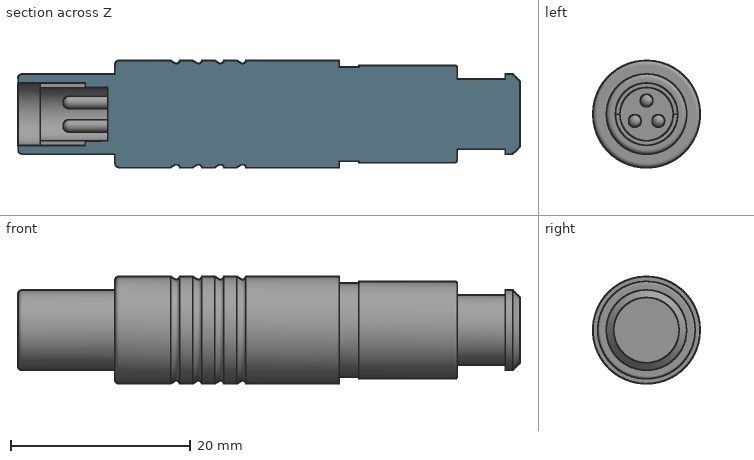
import cadquery as cq
import math

length = 56.0
nose_length = 10.8
body_end = 35.85
neck_end = 38.0
sleeve_end = 49.0
rim_start = 54.3

nose_radius = 4.5
body_radius = 6.0
neck_radius = 5.25
sleeve_radius = 5.45
stem_radius = 3.9
rim_radius = 4.5

nose_fillet = 0.5
sleeve_fillet = 0.3
rim_chamfer = 0.85

groove_count = 4
groove_start = 17.0
groove_pitch = 2.45
groove_width = 1.0
groove_slope_length = 0.45
groove_slope_drop = 0.3

mouth_radius = 3.5
mouth_depth = 7.5
half_shell_start = 2.5
socket_radius = 2.95
socket_depth = 10.0

pin_count = 3
pin_radius = 0.7
pin_circle_radius = 1.5
pin_length = 5.0
pin_angle_step = 2 * math.pi / pin_count
top_pin_angle = math.pi / 2


def cylinder(start, end, radius):
    """Solid cylinder on the X axis between two stations."""
    return cq.Workplane("YZ", origin=(start, 0, 0)).circle(radius).extrude(end - start)


def barrel():
    nose = cylinder(0, nose_length, nose_radius).faces("<X").edges().fillet(nose_fillet)
    body = cylinder(nose_length, body_end, body_radius).faces("<X").edges().fillet(nose_fillet)
    neck = cylinder(body_end, neck_end, neck_radius)
    sleeve = cylinder(neck_end, sleeve_end, sleeve_radius).faces(">X").edges().fillet(sleeve_fillet)
    stem = cylinder(sleeve_end, rim_start, stem_radius)
    rim = cylinder(rim_start, length, rim_radius).faces(">X").edges().chamfer(rim_chamfer)
    return nose.union(body).union(neck).union(sleeve).union(stem).union(rim)


def grip_groove(start):
    """Ring that cuts a straight slope and the arc leading from it back up to the body surface."""
    end = start + groove_width
    clearance_radius = body_radius + groove_slope_drop
    return (
        cq.Workplane("XY")
        .moveTo(start, body_radius)
        .lineTo(start + groove_slope_length, body_radius - groove_slope_drop)
        .tangentArcPoint((end, body_radius), relative=False)
        .lineTo(end, clearance_radius)
        .lineTo(start, clearance_radius)
        .close()
        .revolve(360, (0, 0, 0), (1, 0, 0))
    )


def socket():
    """Stepped bore whose lower half narrows earlier, leaving a half-round shell at -Z."""
    mouth = cylinder(0, mouth_depth, mouth_radius)
    bore = cylinder(0, socket_depth, socket_radius)
    shell_length = mouth_depth - half_shell_start
    lower_half = (
        cq.Workplane("XY")
        .box(shell_length, 2 * mouth_radius, mouth_radius, centered=(False, True, False))
        .translate((half_shell_start, 0, -mouth_radius))
    )
    return mouth.cut(lower_half).union(bore)


def pin(angle):
    """Round-ended pin, standing on the socket floor and pointing to -X."""
    y = pin_circle_radius * math.cos(angle)
    z = pin_circle_radius * math.sin(angle)
    dome_center = socket_depth - pin_length + pin_radius
    shank = cylinder(dome_center, socket_depth, pin_radius)
    dome = cq.Workplane("XY").sphere(pin_radius).translate((dome_center, 0, 0))
    return shank.union(dome).translate((0, y, z))


result = barrel()
for index in range(groove_count):
    result = result.cut(grip_groove(groove_start + index * groove_pitch))
result = result.cut(socket())
for index in range(pin_count):
    result = result.union(pin(top_pin_angle + index * pin_angle_step))